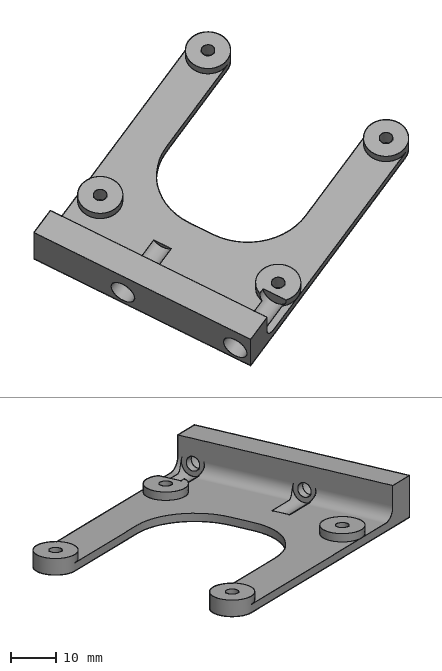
import cadquery as cq

width = 56.0
length = 71.0
height = 10.0

plate_thickness = 2.0
wall_thickness = 7.0
inner_fillet = 3.0

pad_diameter = 10.0
pad_top = 2 * plate_thickness
pad_hole_diameter = 3.0
pad_x = (width - pad_diameter) / 2
front_pad_y = 20.0
rear_pad_y = length - pad_diameter / 2

opening_width = width - 2 * pad_diameter
opening_bottom_y = 25.0
opening_corner_radius = 15.0

screw_diameter = 3.5
bore_diameter = 6.0
outer_bore_depth = 5.0
inner_bore_end_y = 16.9
screw_z = pad_top
right_screw_x = width / 2 - 4.0
screw_spacing = 29.05
screw_positions = [right_screw_x - screw_spacing, right_screw_x]

pad_positions = [(x, y) for x in (-pad_x, pad_x) for y in (front_pad_y, rear_pad_y)]


def y_cylinder(x, diameter, start_y, end_y):
    """Cylinder along +Y at screw height."""
    axis_start = cq.Vector(x, start_y, screw_z)
    solid = cq.Solid.makeCylinder(diameter / 2, end_y - start_y, axis_start, cq.Vector(0, 1, 0))
    return cq.Workplane(solid)


def make_bracket():
    """L-shaped side profile, extruded across the full width."""
    fillet_start_y = wall_thickness + inner_fillet
    return (
        cq.Workplane("YZ", origin=(-width / 2, 0, 0))
        .lineTo(rear_pad_y, 0)
        .lineTo(rear_pad_y, plate_thickness)
        .lineTo(fillet_start_y, plate_thickness)
        .radiusArc((wall_thickness, plate_thickness + inner_fillet), inner_fillet)
        .lineTo(wall_thickness, height)
        .lineTo(0, height)
        .close()
        .extrude(width)
    )


def make_opening():
    """Cutter for the U-shaped opening, rounded at its closed end."""
    return (
        cq.Workplane("XY")
        .box(opening_width, length, plate_thickness, centered=(True, False, False))
        .translate((0, opening_bottom_y, 0))
        .edges("|Z and <Y")
        .fillet(opening_corner_radius)
    )


bracket = make_bracket().cut(make_opening())

pads = cq.Workplane("XY").pushPoints(pad_positions).circle(pad_diameter / 2).extrude(pad_top)
pad_holes = cq.Workplane("XY").pushPoints(pad_positions).circle(pad_hole_diameter / 2).extrude(pad_top)
bracket = bracket.union(pads).cut(pad_holes)

for screw_x in screw_positions:
    bracket = bracket.cut(y_cylinder(screw_x, screw_diameter, 0, wall_thickness))
    bracket = bracket.cut(y_cylinder(screw_x, bore_diameter, 0, outer_bore_depth))
    bracket = bracket.cut(y_cylinder(screw_x, bore_diameter, wall_thickness, inner_bore_end_y))

result = bracket